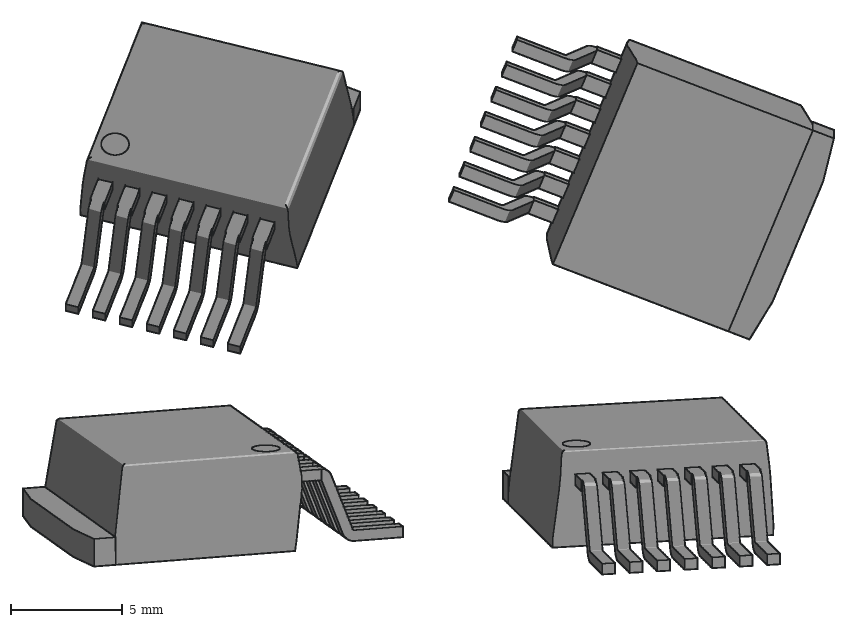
import cadquery as cq
import math

total_length = 15.24
package_width = 10.2
package_height = 4.51
tab_end_y = total_length / 2
lead_tip_y = -total_length / 2

tab_height = 1.28
tab_length = 1.33
tab_flat_width = 6.1
tab_corner_depth = 0.3

lead_count = 7
lead_pitch = 1.27
lead_thickness = 0.5
lead_width = 0.6
shoulder_width = 0.69
lead_top_z = 3.45
lead_embed_depth = 0.15
shoulder_end_y = -3.76
heel_y = -5.32
heel_inner_radius = 0.08

skirt_height = 0.47
side_inset = 0.38
back_face_y = tab_end_y - tab_length
back_top_y = 5.84
front_bottom_y = -2.2
front_face_y = -2.59
front_top_y = -2.41
band_top_z = 3.4
band_bottom_z = 2.79
top_edge_radius = 0.2

marker_radius = 0.62
marker_depth = 0.08
marker_x = -3.76
marker_y = -1.25


def make_housing():
    """Moulded block: a drafted length section and a drafted width section intersected."""
    length_section = (
        cq.Workplane("YZ")
        .moveTo(front_bottom_y, 0)
        .lineTo(back_face_y, 0)
        .lineTo(back_face_y, tab_height)
        .lineTo(back_top_y, package_height)
        .lineTo(front_top_y, package_height)
        .lineTo(front_face_y, band_top_z)
        .lineTo(front_face_y, band_bottom_z)
        .close()
        .extrude(package_width / 2, both=True)
    )
    half_width = package_width / 2
    half_top_width = half_width - side_inset
    width_section = (
        cq.Workplane("XZ")
        .moveTo(-half_width, 0)
        .lineTo(half_width, 0)
        .lineTo(half_width, skirt_height)
        .lineTo(half_top_width, package_height)
        .lineTo(-half_top_width, package_height)
        .lineTo(-half_width, skirt_height)
        .close()
        .extrude(total_length / 2, both=True)
    )
    block = length_section.intersect(width_section)
    return block.faces(">Z").edges().fillet(top_edge_radius)


def make_tab():
    """Metal tab that butts against the back of the housing, with two bevelled rear corners."""
    half_width = package_width / 2
    half_flat = tab_flat_width / 2
    corner_y = tab_end_y - tab_corner_depth
    return (
        cq.Workplane("XY")
        .moveTo(-half_width, back_face_y)
        .lineTo(half_width, back_face_y)
        .lineTo(half_width, corner_y)
        .lineTo(half_flat, tab_end_y)
        .lineTo(-half_flat, tab_end_y)
        .lineTo(-half_width, corner_y)
        .close()
        .extrude(tab_height)
    )


def make_marker():
    """Thin disc whose upper face lies level with the housing top."""
    return (
        cq.Workplane("XY", origin=(marker_x, marker_y, package_height - marker_depth))
        .circle(marker_radius)
        .extrude(marker_depth)
    )


def make_lead(x):
    """Gull-wing lead: a wide shoulder out of the housing, then a narrower bent leg and foot."""
    shoulder_start_y = front_face_y + lead_embed_depth
    knee_z = lead_top_z - lead_thickness
    shoulder = (
        cq.Workplane("YZ", origin=(x, 0, 0))
        .moveTo(shoulder_start_y, knee_z)
        .lineTo(shoulder_start_y, lead_top_z)
        .lineTo(shoulder_end_y, lead_top_z)
        .lineTo(shoulder_end_y, knee_z)
        .close()
        .extrude(shoulder_width / 2, both=True)
    )

    heel_outer_radius = heel_inner_radius + lead_thickness
    heel_z = heel_outer_radius
    run = shoulder_end_y - heel_y
    drop = knee_z - heel_z
    slope = math.atan2(drop, run) + math.asin(heel_outer_radius / math.hypot(run, drop))

    def knee_point(angle):
        return (
            shoulder_end_y + lead_thickness * math.cos(angle),
            knee_z + lead_thickness * math.sin(angle),
        )

    def heel_point(radius, angle):
        return (heel_y + radius * math.cos(angle), heel_z + radius * math.sin(angle))

    knee_end = math.pi / 2 + slope
    knee_middle = math.pi / 2 + slope / 2
    heel_start = knee_end - math.pi
    heel_middle = knee_middle - math.pi
    leg = (
        cq.Workplane("YZ", origin=(x, 0, 0))
        .moveTo(shoulder_end_y, knee_z)
        .lineTo(shoulder_end_y, lead_top_z)
        .threePointArc(knee_point(knee_middle), knee_point(knee_end))
        .lineTo(*heel_point(heel_inner_radius, heel_start))
        .threePointArc(heel_point(heel_inner_radius, heel_middle), (heel_y, lead_thickness))
        .lineTo(lead_tip_y, lead_thickness)
        .lineTo(lead_tip_y, 0)
        .lineTo(heel_y, 0)
        .threePointArc(
            heel_point(heel_outer_radius, heel_middle),
            heel_point(heel_outer_radius, heel_start),
        )
        .close()
        .extrude(lead_width / 2, both=True)
    )
    return shoulder.union(leg)


first_lead_x = -lead_pitch * (lead_count - 1) / 2
leads = [make_lead(first_lead_x + index * lead_pitch) for index in range(lead_count)]
tab = make_tab()
marker = make_marker()

housing = make_housing().cut(marker)
for lead in leads:
    housing = housing.cut(lead)

lead_solids = [lead.solids().val() for lead in leads]
result = cq.Compound.makeCompound([housing.solids().val(), tab.val(), marker.val(), *lead_solids])